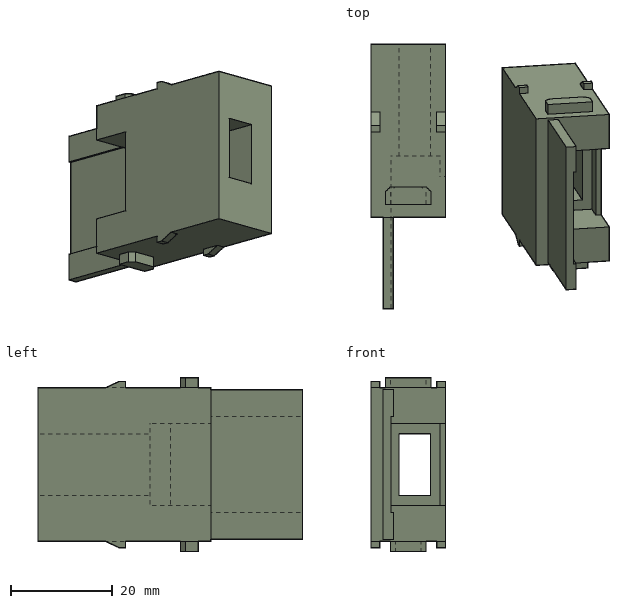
import cadquery as cq

BODY_WIDTH = 14.65
BODY_DEPTH = 34.0
BODY_HEIGHT = 30.2
BODY_TOP = BODY_HEIGHT / 2

PLATE_LEFT = 2.4
PLATE_THICKNESS = 2.0
PLATE_LENGTH = 18.0
PLATE_HEIGHT = 29.4
PLATE_RELIEF = 0.5
PLATE_PAD_HEIGHT = 5.25
PLATE_THIN_RIGHT = PLATE_LEFT + PLATE_THICKNESS - PLATE_RELIEF

RECESS_HEIGHT = 16.15
RECESS_DEPTH = 12.0
SIDE_WALL_THICKNESS = 1.1
SIDE_WALL_SETBACK = 8.0

WINDOW_LEFT = 5.55
WINDOW_WIDTH = 6.1
WINDOW_HEIGHT = 12.1

TAB_FRONT = 2.5
TAB_DEPTH = 3.5
TAB_HEIGHT = 2.0
TAB_CHAMFER = 1.0
TAB_CENTER = BODY_WIDTH / 2
TOP_TAB_WIDTH = 9.0
BOTTOM_TAB_WIDTH = 7.05

CLIP_WIDTH = 1.75
CLIP_HEIGHT = 1.25
CLIP_FRONT = 16.75
CLIP_CREST = 1.3
CLIP_LENGTH = 3.95


def block(x_start, y_start, x_size, y_size, z_size):
    """Box placed by its left and front faces and centred on Z = 0."""
    box = cq.Workplane("XY").box(x_size, y_size, z_size, centered=(False, False, True))
    return box.translate((x_start, y_start, 0))


def make_plate():
    plate = block(PLATE_LEFT, -PLATE_LENGTH, PLATE_THICKNESS, PLATE_LENGTH, PLATE_HEIGHT)
    relief = block(
        PLATE_THIN_RIGHT,
        -PLATE_LENGTH,
        PLATE_RELIEF,
        PLATE_LENGTH,
        PLATE_HEIGHT - 2 * PLATE_PAD_HEIGHT,
    )
    return plate.cut(relief)


def make_recess():
    """Pocket beside the plate, plus the shallower opening over the side wall."""
    width = BODY_WIDTH - PLATE_THIN_RIGHT
    opening = block(PLATE_THIN_RIGHT, 0, width, SIDE_WALL_SETBACK, RECESS_HEIGHT)
    pocket = block(PLATE_THIN_RIGHT, 0, width - SIDE_WALL_THICKNESS, RECESS_DEPTH, RECESS_HEIGHT)
    return opening.union(pocket)


def make_tab(width):
    """Tab on the top face with its two rear corners chamfered."""
    return (
        cq.Workplane("XY", origin=(TAB_CENTER, TAB_FRONT, BODY_TOP))
        .rect(width, TAB_DEPTH)
        .extrude(TAB_HEIGHT)
        .translate((0, TAB_DEPTH / 2, 0))
        .edges("|Z and >Y")
        .chamfer(TAB_CHAMFER)
    )


def make_clip(x_start):
    """Clip on the top face: upright at the front, ramping down to the rear."""
    crest_top = BODY_TOP + CLIP_HEIGHT
    return (
        cq.Workplane("YZ", origin=(x_start, 0, 0))
        .moveTo(CLIP_FRONT, BODY_TOP)
        .lineTo(CLIP_FRONT, crest_top)
        .lineTo(CLIP_FRONT + CLIP_CREST, crest_top)
        .lineTo(CLIP_FRONT + CLIP_LENGTH, BODY_TOP)
        .close()
        .extrude(CLIP_WIDTH)
    )


def to_bottom(feature):
    """Mirror a top-face feature onto the bottom face."""
    return feature.mirror("XY")


body = block(0, 0, BODY_WIDTH, BODY_DEPTH, BODY_HEIGHT)
body = body.cut(make_recess())
body = body.cut(block(WINDOW_LEFT, 0, WINDOW_WIDTH, BODY_DEPTH, WINDOW_HEIGHT))
body = body.union(make_plate())
body = body.union(make_tab(TOP_TAB_WIDTH))
body = body.union(to_bottom(make_tab(BOTTOM_TAB_WIDTH)))
for clip_left in (0, BODY_WIDTH - CLIP_WIDTH):
    clip = make_clip(clip_left)
    body = body.union(clip).union(to_bottom(clip))

result = body